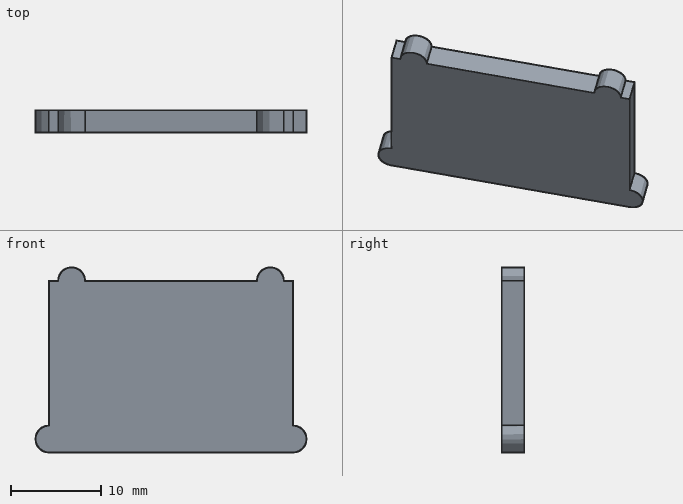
import cadquery as cq

plate_width = 27.0
plate_height = 19.0
thickness = 2.5

lobe_radius = 1.5
top_lobe_offset = 11.0
bottom_lobe_offset = plate_width / 2
bottom_lobe_height = lobe_radius


def make_plate():
    """Rectangular plate, centred in X and Y and standing on Z = 0."""
    return cq.Workplane("XY").box(plate_width, thickness, plate_height, centered=(True, True, False))


def make_lobe(x, z):
    """Full-thickness cylinder along Y, centred at (x, z)."""
    return (
        cq.Workplane("XZ", origin=(0, thickness / 2, 0))
        .center(x, z)
        .circle(lobe_radius)
        .extrude(thickness)
    )


result = make_plate()
for side in (-1, 1):
    result = result.union(make_lobe(side * top_lobe_offset, plate_height))
    result = result.union(make_lobe(side * bottom_lobe_offset, bottom_lobe_height))
result = result.clean()